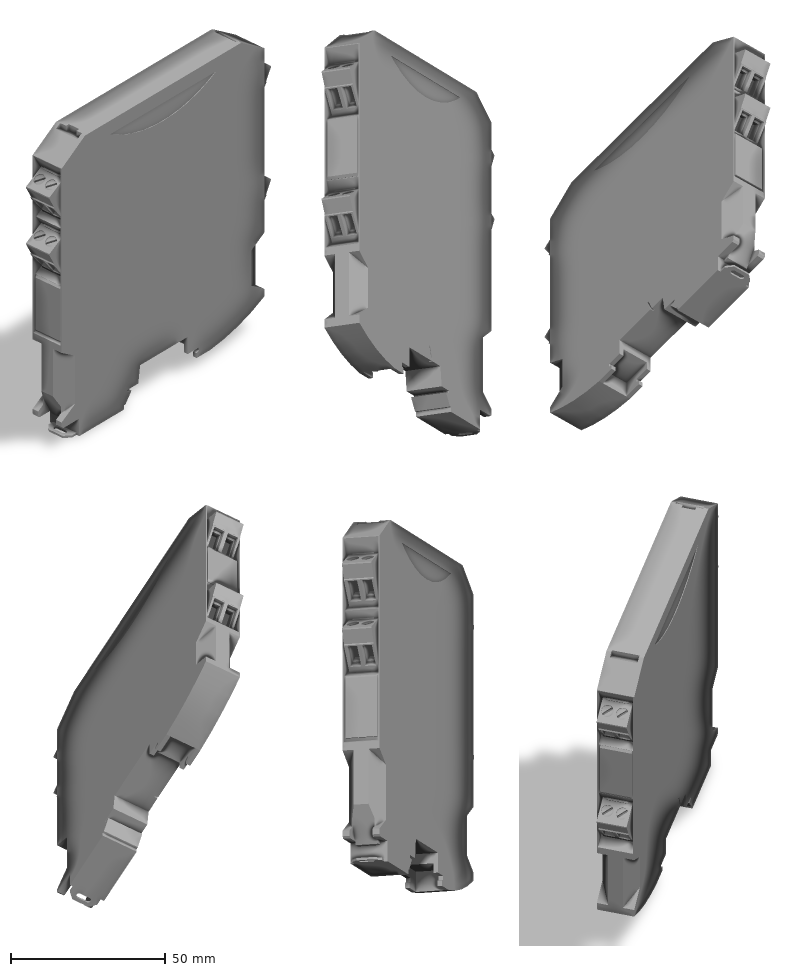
import cadquery as cq
import math

WIDTH = 12.6
HALF_WIDTH = WIDTH / 2
DEPTH = 98.8
HALF_DEPTH = DEPTH / 2
OVERALL_DEPTH = 108.0
HEIGHT = 113.7
CHAMFER_Y = 11.4
CHAMFER_Z = 7.4

TILT = math.radians(30)
SLOT_PITCH = 21.6
TOP_SLOT_Z = 81.6
SLOT_HEIGHT = 24.5
SLOT_WIDTH = 11.8
SLOT_CORNER = (
    SLOT_HEIGHT * math.sin(TILT) * math.cos(TILT),
    SLOT_HEIGHT * math.sin(TILT) ** 2,
)
FRONT, BACK = 0, 180
PLUG_PLACES = [(FRONT, 0), (FRONT, 1), (BACK, 0), (BACK, 2)]
BLANK_PLACES = [(FRONT, 2), (BACK, 1)]

PANEL_WIDTH = 10.7
PANEL_HEIGHT = 19.9
PANEL_RISE = 1.5
PANEL_SETBACK = 0.2
PANEL_TOP_SLOPE = 0.7
PANEL_GROOVE_DEPTH = 0.9
BLANK_HEIGHT = 22.7

PLUG_WIDTH = 10.1
PLUG_REACH = (OVERALL_DEPTH - DEPTH) / 2
PLUG_TIP_TOP = 15.2
PLUG_TIP_BOTTOM = 14.8
PLUG_STEP_INNER = (-2.3, 10.5)
JAW_TOP = (-2.5, 10.0)
JAW_BOTTOM_DEPTH = 3.5
JAW_BOTTOM = (JAW_BOTTOM_DEPTH, JAW_BOTTOM_DEPTH * math.tan(TILT))
PLUG_TOP_BACK_DEPTH = (SLOT_HEIGHT - PLUG_TIP_TOP - PLUG_REACH * math.tan(TILT)) / (
    math.tan(TILT) + 1 / math.tan(TILT)
)
PLUG_TOP_BACK = (PLUG_TOP_BACK_DEPTH, SLOT_HEIGHT - PLUG_TOP_BACK_DEPTH / math.tan(TILT))
POLE_X = 2.5
SCREW_RADIUS = 2.0
SCREW_RECESS = 0.3
SCREW_FROM_BACK = 4.3
SCREW_SLOT_WIDTH = 0.8
SCREW_SLOT_DEPTH = 0.8
SCREW_SLOT_ANGLE = 45
RIB_WIDTH = 7.3
RIB_THICKNESS = 0.7
RIB_HEIGHT = 0.3
FUNNEL_SIZE = (3.8, 7.4)
FUNNEL_DEPTH = 2.5
CLAMP_SIZE = (3.1, 5.9)
CLAMP_DEPTH = 5.7
OPENING_FROM_JAW_TOP = 4.1

LID_HALF_LENGTH = 33.4
LID_SAG = 12.2
LID_EDGE_Z = 108.5
GRIP_DEPTH = 0.2
TONGUE_WIDTH = 9.3
TONGUE_THICKNESS = 2.7
FRONT_TONGUE_END = 37.6
BACK_TONGUE_END = 37.3
NOTCH_OUTER_Y = 39.8
NOTCH_INNER_Y = 36.3
THUMB_WIDTH = 4.5

POCKET_DEPTH = 6.6
POCKET_RISE = 4.1
POCKET_TOP = 35.8
FRONT_POCKET_BOTTOM = 9.2
BACK_POCKET_BOTTOM = 14.2
WEB_HALF_WIDTH = 2.5
LATCH_WIDTH = 7.7
LATCH_TOP = 17.6
LATCH_SLOPE = 0.53
LATCH_BOTTOM = 5.6
EAR_CHAMFER = 0.7

RIM_BOTTOM = 6.7
RAIL_TOP = 13.3
RAIL_FRONT_Y = -11.1
RAIL_MOUTH_Y = -12.0
RAIL_BACK_Y = 12.0
HOOK_TIP_Y = 16.4
HOOK_REACH_Y = 17.6
HOOK_END_Y = 23.1
HOOK_BOTTOM = 3.2
HOOK_BARB_LOW_Z = 5.0
HOOK_BARB_HIGH_Z = 5.5
CURVE_MIDDLE = (35.7, 5.7)
CURVE_END_Z = 11.4
HOOK_CHANNEL_WIDTH = 9.5
HOOK_CHANNEL_TOP = 9.9
SLIT_TOP_Y = -3.2
SLIT_BOTTOM_Y = -5.0
SLIT_TOP_Z = 18.2
SLIT_WIDTH = 0.7
SLIT_DEPTH = 1.1

FOOT_FRONT = -40.8
NOSE_TIP = (-15.3, 5.6)
NOSE_TOP = (-17.6, 5.9)
NOSE_BOTTOM = (-18.3, 1.6)
FOOT_BACK = -19.1
TAB_END = -45.3
TAB_THICKNESS = 0.8
TAB_WIDTH = 10.2
TAB_CHAMFER = 2.2
TAB_SLOT_LENGTH = 5.2
TAB_SLOT_WIDTH = 1.8


def prism(points, width):
    """Extrude a (Y, Z) outline symmetrically about X = 0."""
    return cq.Workplane("YZ").polyline(points).close().extrude(width / 2, both=True)


def box(x_size, y_range, z_range):
    """Box centred on X = 0."""
    y0, y1 = y_range
    z0, z1 = z_range
    return prism([(y0, z0), (y1, z0), (y1, z1), (y0, z1)], x_size)


def slot_point(point):
    """(depth, height) in a slot at the -Y end, standing on Z = 0, to (Y, Z)."""
    return (point[0] - HALF_DEPTH, point[1])


def slot_prism(points, width):
    """Prism from (depth, height) points in a slot at the -Y end."""
    return prism([slot_point(point) for point in points], width)


def placed(shape, place):
    """Move a shape made at the -Y end into its slot."""
    turn, row = place
    lifted = shape.translate((0, 0, TOP_SLOT_Z - row * SLOT_PITCH))
    return lifted.rotate((0, 0, 0), (0, 0, 1), turn)


def lid_segment(width):
    """Circular segment hanging from the top face."""
    return (
        cq.Workplane("YZ")
        .moveTo(-LID_HALF_LENGTH, HEIGHT)
        .threePointArc((0, HEIGHT - LID_SAG), (LID_HALF_LENGTH, HEIGHT))
        .close()
        .extrude(width / 2, both=True)
    )


def end_notch(width):
    """Notch at the -Y end, its floor sloping down from the top chamfer to below the lid."""
    outer_z = HEIGHT - (NOTCH_OUTER_Y - HALF_DEPTH + CHAMFER_Y) * CHAMFER_Z / CHAMFER_Y
    return prism(
        [
            (-NOTCH_OUTER_Y, HEIGHT),
            (-NOTCH_OUTER_Y, outer_z),
            (-NOTCH_INNER_Y, HEIGHT - TONGUE_THICKNESS),
            (-NOTCH_INNER_Y, HEIGHT),
        ],
        width,
    )


def make_lid():
    cap = lid_segment(WIDTH).intersect(box(WIDTH, (-HALF_DEPTH, HALF_DEPTH), (LID_EDGE_Z, HEIGHT)))
    tongue = box(
        TONGUE_WIDTH,
        (-FRONT_TONGUE_END, BACK_TONGUE_END),
        (HEIGHT - TONGUE_THICKNESS, HEIGHT),
    )
    thumb_gap = box(
        THUMB_WIDTH,
        (-FRONT_TONGUE_END, -NOTCH_INNER_Y),
        (HEIGHT - TONGUE_THICKNESS, HEIGHT),
    )
    return cap.union(tongue).cut(thumb_gap)


def housing_block():
    front = -HALF_DEPTH
    back = HALF_DEPTH
    return (
        cq.Workplane("YZ")
        .moveTo(back, CURVE_END_Z)
        .lineTo(back, HEIGHT - CHAMFER_Z)
        .lineTo(back - CHAMFER_Y, HEIGHT)
        .lineTo(front + CHAMFER_Y, HEIGHT)
        .lineTo(front, HEIGHT - CHAMFER_Z)
        .lineTo(front, RIM_BOTTOM + EAR_CHAMFER)
        .lineTo(front + EAR_CHAMFER, RIM_BOTTOM)
        .lineTo(RAIL_MOUTH_Y, RIM_BOTTOM)
        .lineTo(RAIL_FRONT_Y, RAIL_TOP)
        .lineTo(RAIL_BACK_Y, RAIL_TOP)
        .lineTo(RAIL_BACK_Y, RIM_BOTTOM)
        .lineTo(HOOK_REACH_Y, RIM_BOTTOM)
        .lineTo(HOOK_REACH_Y, HOOK_BARB_HIGH_Z)
        .lineTo(HOOK_TIP_Y, HOOK_BARB_LOW_Z)
        .lineTo(HOOK_TIP_Y, HOOK_BOTTOM)
        .lineTo(HOOK_END_Y, HOOK_BOTTOM)
        .threePointArc(CURVE_MIDDLE, (back, CURVE_END_Z))
        .close()
        .extrude(HALF_WIDTH, both=True)
    )


def hook_channel():
    """Channel between the two side walls of the rail hook."""
    return box(HOOK_CHANNEL_WIDTH, (RAIL_BACK_Y, HOOK_END_Y), (HOOK_BOTTOM, HOOK_CHANNEL_TOP))


def slot_cavity():
    return slot_prism([(0, 0), SLOT_CORNER, (0, SLOT_HEIGHT)], SLOT_WIDTH)


def blank_recess():
    """Opening whose floor slopes like a slot's, less the flat panel that stands in it."""
    floor_rise = PANEL_GROOVE_DEPTH * math.tan(TILT)
    opening = slot_prism(
        [
            (0, 0),
            (PANEL_GROOVE_DEPTH, floor_rise),
            (PANEL_GROOVE_DEPTH, BLANK_HEIGHT),
            (0, BLANK_HEIGHT),
        ],
        SLOT_WIDTH,
    )
    panel_top = PANEL_RISE + PANEL_HEIGHT
    panel = slot_prism(
        [
            (PANEL_SETBACK, PANEL_RISE),
            (PANEL_SETBACK, panel_top),
            (PANEL_GROOVE_DEPTH, panel_top + PANEL_TOP_SLOPE),
            (PANEL_GROOVE_DEPTH, PANEL_RISE),
        ],
        PANEL_WIDTH,
    )
    return opening.cut(panel)


def side_pockets(bottom):
    """Pockets on both sides of the -Y end that leave a tapering web between them."""
    inner = -HALF_DEPTH + POCKET_DEPTH
    outline = prism(
        [
            (-HALF_DEPTH, bottom),
            (-HALF_DEPTH, POCKET_TOP),
            (inner, POCKET_TOP - POCKET_RISE),
            (inner, bottom + POCKET_RISE),
        ],
        WIDTH,
    )
    web = (
        cq.Workplane("XY")
        .polyline(
            [
                (-WEB_HALF_WIDTH, -HALF_DEPTH),
                (WEB_HALF_WIDTH, -HALF_DEPTH),
                (HALF_WIDTH, inner),
                (-HALF_WIDTH, inner),
            ]
        )
        .close()
        .extrude(HEIGHT)
    )
    return outline.cut(web)


def latch_wall_y(z):
    """Y of the sloped wall behind the latch opening."""
    return -HALF_DEPTH + (LATCH_TOP - z) * LATCH_SLOPE


def latch_opening():
    return prism(
        [
            (-HALF_DEPTH, LATCH_TOP),
            (latch_wall_y(LATCH_BOTTOM), LATCH_BOTTOM),
            (-HALF_DEPTH, LATCH_BOTTOM),
        ],
        LATCH_WIDTH,
    )


def latch_lip():
    """Lower end of the sloped wall, in front of the foot."""
    return prism(
        [
            (FOOT_FRONT, RIM_BOTTOM),
            (latch_wall_y(RIM_BOTTOM), RIM_BOTTOM),
            (latch_wall_y(LATCH_BOTTOM), LATCH_BOTTOM),
            (FOOT_FRONT, LATCH_BOTTOM),
        ],
        LATCH_WIDTH,
    )


def lid_pocket(lid):
    """Everything cleared for the lid: its own shape, the grips under its sides and the end notches."""
    grips = lid_segment(WIDTH).cut(lid_segment(WIDTH - 2 * GRIP_DEPTH))
    before_front = box(WIDTH, (-HALF_DEPTH, -FRONT_TONGUE_END), (0, HEIGHT))
    before_back = box(WIDTH, (-HALF_DEPTH, -BACK_TONGUE_END), (0, HEIGHT))
    front_notch = end_notch(TONGUE_WIDTH).intersect(before_front).union(end_notch(THUMB_WIDTH))
    back_notch = end_notch(TONGUE_WIDTH).intersect(before_back).rotate((0, 0, 0), (0, 0, 1), BACK)
    return lid.union(grips).union(front_notch).union(back_notch)


def rail_slit():
    """Shallow slanted groove in the -X side, rising from the rail recess."""
    half = SLIT_WIDTH / 2
    return (
        cq.Workplane("YZ", origin=(-HALF_WIDTH, 0, 0))
        .polyline(
            [
                (SLIT_TOP_Y + half, SLIT_TOP_Z),
                (SLIT_TOP_Y - half, SLIT_TOP_Z),
                (SLIT_BOTTOM_Y - half, RAIL_TOP),
                (SLIT_BOTTOM_Y + half, RAIL_TOP),
            ]
        )
        .close()
        .extrude(SLIT_DEPTH)
    )


def make_housing(lid):
    body = housing_block().union(latch_lip()).cut(lid_pocket(lid))
    for place in PLUG_PLACES:
        body = body.cut(placed(slot_cavity(), place))
    for place in BLANK_PLACES:
        body = body.cut(placed(blank_recess(), place))
    body = body.cut(side_pockets(FRONT_POCKET_BOTTOM))
    body = body.cut(side_pockets(BACK_POCKET_BOTTOM).rotate((0, 0, 0), (0, 0, 1), BACK))
    body = body.cut(latch_opening())
    return body.cut(hook_channel()).cut(rail_slit())


def plug_plane(point, normal):
    """Plane at a slot point; its local Y runs up the face."""
    y, z = slot_point(point)
    return cq.Plane(origin=(0, y, z), xDir=(1, 0, 0), normal=(0, *normal))


def make_plug():
    outline = [
        (-PLUG_REACH, PLUG_TIP_TOP),
        (-PLUG_REACH, PLUG_TIP_BOTTOM),
        PLUG_STEP_INNER,
        JAW_TOP,
        JAW_BOTTOM,
        SLOT_CORNER,
        PLUG_TOP_BACK,
    ]
    plug = slot_prism(outline, PLUG_WIDTH)

    top = plug_plane(PLUG_TOP_BACK, (-math.sin(TILT), math.cos(TILT)))
    screw_places = [(-POLE_X, -SCREW_FROM_BACK), (POLE_X, -SCREW_FROM_BACK)]
    screw_recesses = cq.Workplane(top).pushPoints(screw_places).circle(SCREW_RADIUS).extrude(-SCREW_RECESS)
    screw_slots = (
        cq.Workplane(top)
        .pushPoints(screw_places)
        .slot2D(2 * SCREW_RADIUS, SCREW_SLOT_WIDTH, SCREW_SLOT_ANGLE)
        .extrude(-SCREW_RECESS - SCREW_SLOT_DEPTH)
    )
    rib = (
        cq.Workplane(top)
        .center(0, -RIB_THICKNESS / 2)
        .rect(RIB_WIDTH, RIB_THICKNESS)
        .extrude(RIB_HEIGHT)
    )

    jaw_run = JAW_BOTTOM[0] - JAW_TOP[0]
    jaw_drop = JAW_TOP[1] - JAW_BOTTOM[1]
    jaw = plug_plane(JAW_TOP, (-jaw_drop, -jaw_run))
    wire_places = [(-POLE_X, -OPENING_FROM_JAW_TOP), (POLE_X, -OPENING_FROM_JAW_TOP)]
    funnels = cq.Workplane(jaw).pushPoints(wire_places).rect(*FUNNEL_SIZE).extrude(-FUNNEL_DEPTH)
    clamps = cq.Workplane(jaw).pushPoints(wire_places).rect(*CLAMP_SIZE).extrude(-CLAMP_DEPTH)

    return plug.union(rib).cut(screw_recesses).cut(screw_slots).cut(funnels).cut(clamps)


def make_foot():
    slide = prism(
        [
            (FOOT_FRONT, 0),
            (FOOT_BACK, 0),
            (FOOT_BACK, NOSE_BOTTOM[1]),
            NOSE_BOTTOM,
            NOSE_TIP,
            NOSE_TOP,
            (NOSE_TOP[0], RIM_BOTTOM),
            (FOOT_FRONT, RIM_BOTTOM),
        ],
        WIDTH,
    )
    tab_half = TAB_WIDTH / 2
    tab = (
        cq.Workplane("XY")
        .polyline(
            [
                (-tab_half, FOOT_FRONT),
                (-tab_half, TAB_END + TAB_CHAMFER),
                (-tab_half + TAB_CHAMFER, TAB_END),
                (tab_half - TAB_CHAMFER, TAB_END),
                (tab_half, TAB_END + TAB_CHAMFER),
                (tab_half, FOOT_FRONT),
            ]
        )
        .close()
        .extrude(TAB_THICKNESS)
    )
    tab_slot = (
        cq.Workplane("XY")
        .center(0, (FOOT_FRONT + TAB_END) / 2)
        .slot2D(TAB_SLOT_LENGTH, TAB_SLOT_WIDTH)
        .extrude(TAB_THICKNESS)
    )
    return slide.union(tab).cut(tab_slot)


lid = make_lid()
housing = make_housing(lid)
foot = make_foot()
plugs = [placed(make_plug(), place) for place in PLUG_PLACES]

result = cq.Compound.makeCompound(
    [housing.val(), lid.val(), foot.val(), *[plug.val() for plug in plugs]]
)